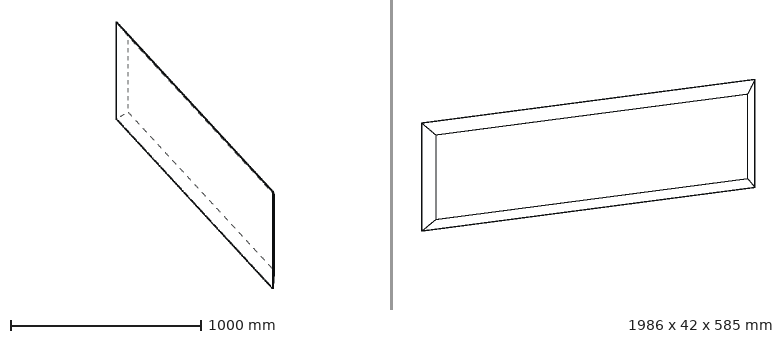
import cadquery as cq
import math

length = 1986.0
thickness = 42.0
height = 585.0

rim_thickness = 5.0
bevel_angle = 30.0

bevel_depth = thickness - rim_thickness
bevel_inset = bevel_depth / math.tan(math.radians(bevel_angle))


def make_rim():
    """Thin rectangular slab that carries the front face, at Y = 0."""
    return cq.Workplane("XY").box(
        length, rim_thickness, height, centered=(True, False, True)
    )


def make_bevelled_back():
    """Frustum narrowing equally on all four sides toward the back face."""
    return (
        cq.Workplane("XZ", origin=(0, rim_thickness, 0))
        .rect(length, height)
        .workplane(offset=-bevel_depth)
        .rect(length - 2 * bevel_inset, height - 2 * bevel_inset)
        .loft(ruled=True)
    )


result = make_rim().union(make_bevelled_back())